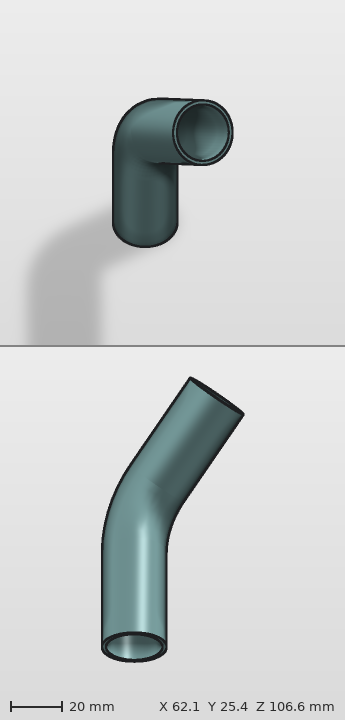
import cadquery as cq
import math

total_height = 106.6
outer_diameter = 25.4
inner_diameter = 22.1
bend_angle = 45.0
bend_radius = 1.5 * outer_diameter

bend_sine = math.sin(math.radians(bend_angle))
bend_cosine = math.cos(math.radians(bend_angle))
outer_bend_radius = bend_radius + outer_diameter / 2
leg_length = (total_height - outer_bend_radius * bend_sine) / (1 + bend_sine)


def centreline():
    """Vertical leg, bend towards +X, then the inclined leg."""
    bend_end_x = bend_radius * (1 - bend_cosine)
    bend_end_z = leg_length + bend_radius * bend_sine
    half_angle = math.radians(bend_angle / 2)
    bend_middle = (
        bend_radius * (1 - math.cos(half_angle)),
        leg_length + bend_radius * math.sin(half_angle),
    )
    return (
        cq.Workplane("XZ")
        .lineTo(0, leg_length)
        .threePointArc(bend_middle, (bend_end_x, bend_end_z))
        .lineTo(bend_end_x + leg_length * bend_sine, bend_end_z + leg_length * bend_cosine)
    )


result = (
    cq.Workplane("XY")
    .circle(outer_diameter / 2)
    .circle(inner_diameter / 2)
    .sweep(centreline())
)